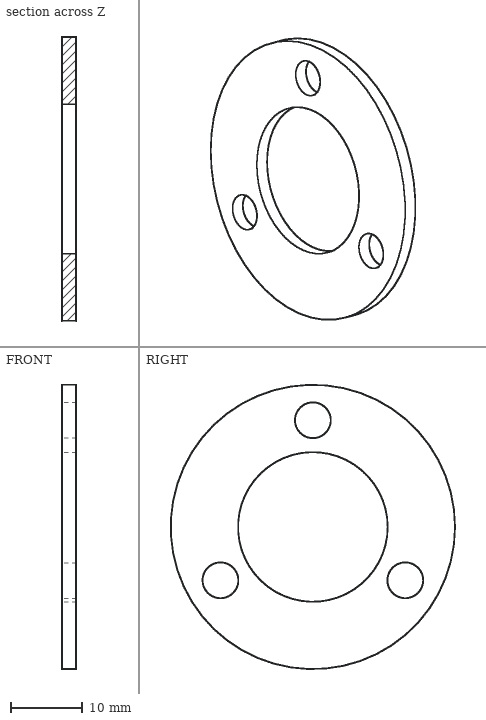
import cadquery as cq

outer_diameter = 40.0
bore_diameter = 21.0
thickness = 2.0
bolt_hole_diameter = 5.0
bolt_circle_radius = 15.0
bolt_hole_count = 3
first_hole_angle = 90.0


def back_face_plane():
    """Workplane on the -X face, with the part centred on the origin."""
    return cq.Workplane("YZ", origin=(-thickness / 2, 0, 0))


def make_ring():
    """Flat ring with its axis along X."""
    return (
        back_face_plane()
        .circle(outer_diameter / 2)
        .circle(bore_diameter / 2)
        .extrude(thickness)
    )


def make_bolt_holes():
    """Cutters for the evenly spaced through holes."""
    return (
        back_face_plane()
        .polarArray(bolt_circle_radius, first_hole_angle, 360, bolt_hole_count)
        .circle(bolt_hole_diameter / 2)
        .extrude(thickness)
    )


result = make_ring().cut(make_bolt_holes())